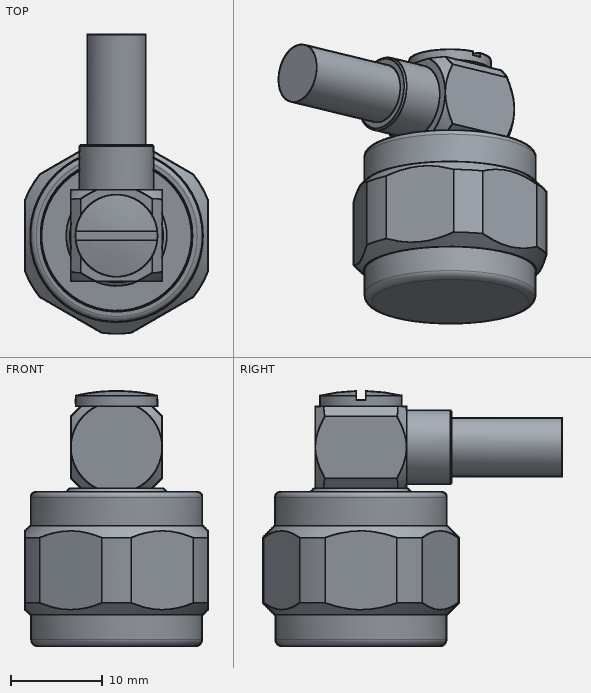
import cadquery as cq
import math

overall_length = 32.75

front_radius = 9.37
rear_radius = 9.4
barrel_height = 16.9
bottom_round = 0.8
top_round = 0.6
hex_width = 20.0
hex_corner_radius = 10.75
hex_bottom = 3.47
hex_top = 13.15
hex_shoulder_radius = 9.45

cap_radius = 8.2
cap_recess = 0.13

boss_radius = 5.5
boss_height = 0.4

block_width = 10.0
block_height = 8.95
block_chamfer = 1.08
block_bottom = barrel_height + boss_height
block_top = block_bottom + block_height
cable_axis_z = block_bottom + block_height / 2
end_face_radius = 4.98
end_cone_length = block_width / 4

ferrule_radius = 4.05
ferrule_end = 9.95
ferrule_chamfer = 0.2
cable_radius = 3.2
cable_end = overall_length - hex_corner_radius

screw_radius = 4.5
screw_top = 27.95
dome_height = 0.52
slot_width = 1.0
slot_depth = 0.98


def cylinder(radius, bottom, top):
    return cq.Workplane("XY").workplane(offset=bottom).circle(radius).extrude(top - bottom)


def cylinder_along_y(radius, start, end, axis_z):
    section = cq.Workplane("XZ", origin=(0, start, axis_z)).circle(radius)
    return section.extrude(start - end)


def make_hexagon():
    """Hexagon with turned corners and 45 degree conical chamfers at both ends."""
    chamfer = hex_corner_radius - hex_shoulder_radius
    turned = cylinder(hex_corner_radius, hex_bottom, hex_top).faces("<Z or >Z").edges().chamfer(chamfer)
    corner_diameter = hex_width / math.cos(math.pi / 6)
    prism = (
        cq.Workplane("XY")
        .workplane(offset=hex_bottom)
        .transformed(rotate=(0, 0, 30))
        .polygon(6, corner_diameter)
        .extrude(hex_top - hex_bottom)
    )
    return turned.intersect(prism)


def make_nut():
    hex_middle = (hex_bottom + hex_top) / 2
    front = cylinder(front_radius, 0, hex_middle).faces("<Z").edges().fillet(bottom_round)
    rear = cylinder(rear_radius, hex_middle, barrel_height).faces(">Z").edges().fillet(top_round)
    recess = (
        cq.Workplane("XY")
        .workplane(offset=barrel_height)
        .circle(cap_radius + cap_recess)
        .extrude(-cap_recess, taper=45)
    )
    return make_hexagon().union(front).union(rear).cut(recess)


def make_boss():
    base = barrel_height - cap_recess
    boss = cylinder(boss_radius, base, block_bottom)
    return boss.faces(">Z").edges().chamfer(boss_height)


def make_block():
    """Block with chamfered long edges and both Y ends turned to a 45 degree cone."""
    block = (
        cq.Workplane("XY", origin=(0, 0, cable_axis_z))
        .box(block_width, block_width, block_height)
        .edges("|Y")
        .chamfer(block_chamfer)
    )
    half_length = block_width / 2
    turning_radius = end_face_radius + end_cone_length
    turned = cylinder_along_y(turning_radius, -half_length, half_length, cable_axis_z)
    turned = turned.faces("<Y or >Y").edges().chamfer(end_cone_length)
    return block.intersect(turned)


def make_cable():
    ferrule = cylinder_along_y(ferrule_radius, 0, ferrule_end, cable_axis_z)
    ferrule = ferrule.faces(">Y").edges().chamfer(ferrule_chamfer)
    return ferrule.union(cylinder_along_y(cable_radius, 0, cable_end, cable_axis_z))


def make_screw():
    dome_radius = (screw_radius**2 + dome_height**2) / (2 * dome_height)
    dome = cq.Workplane("XY", origin=(0, 0, screw_top - dome_radius)).sphere(dome_radius)
    screw = cylinder(screw_radius, block_top, screw_top).intersect(dome)
    slot = cq.Workplane("XY", origin=(0, 0, screw_top)).box(
        2 * screw_radius, slot_width, 2 * slot_depth
    )
    return screw.cut(slot)


result = make_nut().union(make_boss()).union(make_block()).union(make_cable()).union(make_screw())